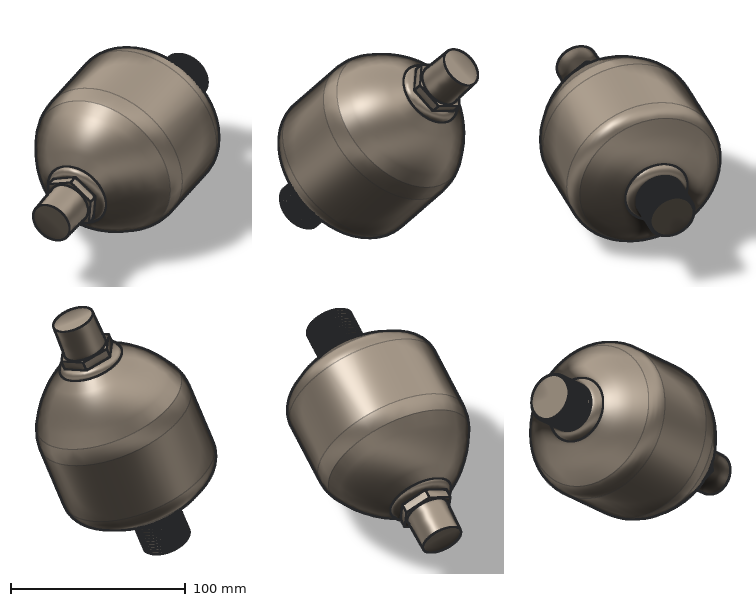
import cadquery as cq
import math

length = 156.9
body_diameter = 93.0
body_radius = body_diameter / 2
body_start = 69.7
body_end = 109.2

dome_radius = 65.1
dome_knuckle_radius = 12.5

taper_knuckle_radius = 23.5
taper_knuckle_sweep = math.radians(25)
taper_end = 29.8

collar_radius = 19.0
neck_collar_bulge = 1.0
nut_collar_bulge = 1.4
nut_collar_radius = 13.6

nut_start = 20.1
nut_end = 25.7
nut_corner_radius = 16.0
nut_turn = -4.3
spigot_root_radius = 12.7
spigot_tip_radius = 12.1

ridge_count = 10
thread_length = 20.2
ridge_pitch = thread_length / ridge_count
crest_radius = 14.1
root_radius = 13.2
neck_start = 136.2


def arc_point(center_radius, center_y, radius, angle):
    """Point on an arc, with the angle measured from the radial direction towards +Y."""
    return (
        center_radius + radius * math.cos(angle),
        center_y + radius * math.sin(angle),
    )


def make_vessel():
    """Body, both heads and both collars as one revolved outline of (radius, y)."""
    taper_center = body_radius - taper_knuckle_radius
    taper_mid = arc_point(taper_center, body_start, taper_knuckle_radius, -taper_knuckle_sweep / 2)
    taper_join = arc_point(taper_center, body_start, taper_knuckle_radius, -taper_knuckle_sweep)

    knuckle_center = body_radius - dome_knuckle_radius
    join_angle = math.acos(knuckle_center / (dome_radius - dome_knuckle_radius))
    knuckle_mid = arc_point(knuckle_center, body_end, dome_knuckle_radius, join_angle / 2)
    knuckle_join = arc_point(knuckle_center, body_end, dome_knuckle_radius, join_angle)
    dome_center_y = knuckle_join[1] - dome_radius * math.sin(join_angle)
    rim_angle = math.acos(collar_radius / dome_radius)
    dome_mid = arc_point(0, dome_center_y, dome_radius, (join_angle + rim_angle) / 2)
    dome_rim = arc_point(0, dome_center_y, dome_radius, rim_angle)

    return (
        cq.Workplane("XY")
        .moveTo(0, neck_start)
        .lineTo(crest_radius, neck_start)
        .sagittaArc(dome_rim, neck_collar_bulge)
        .threePointArc(dome_mid, knuckle_join)
        .threePointArc(knuckle_mid, (body_radius, body_end))
        .lineTo(body_radius, body_start)
        .threePointArc(taper_mid, taper_join)
        .tangentArcPoint((collar_radius, taper_end), relative=False)
        .sagittaArc((nut_collar_radius, nut_end), nut_collar_bulge)
        .lineTo(0, nut_end)
        .close()
        .revolve(360, (0, 0), (0, 1))
    )


def make_thread():
    """Neck and V-shaped ridges, revolved from the neck to the open end."""
    outline = cq.Workplane("XY").moveTo(0, neck_start).lineTo(crest_radius, neck_start)
    first_crest = length - (ridge_count - 0.5) * ridge_pitch
    for index in range(ridge_count):
        crest_y = first_crest + index * ridge_pitch
        outline = outline.lineTo(crest_radius, crest_y)
        outline = outline.lineTo(root_radius, crest_y + ridge_pitch / 2)
    return outline.lineTo(0, length).close().revolve(360, (0, 0), (0, 1))


def make_nut():
    corners = []
    for index in range(6):
        angle = math.radians(90 + nut_turn + 60 * index)
        corners.append((nut_corner_radius * math.cos(angle), nut_corner_radius * math.sin(angle)))
    return (
        cq.Workplane("XZ", origin=(0, nut_start, 0))
        .polyline(corners)
        .close()
        .extrude(nut_start - nut_end)
    )


def make_spigot():
    return (
        cq.Workplane("XY")
        .polyline([(0, 0), (spigot_tip_radius, 0), (spigot_root_radius, nut_start), (0, nut_start)])
        .close()
        .revolve(360, (0, 0), (0, 1))
    )


result = make_vessel().union(make_thread()).union(make_nut()).union(make_spigot())